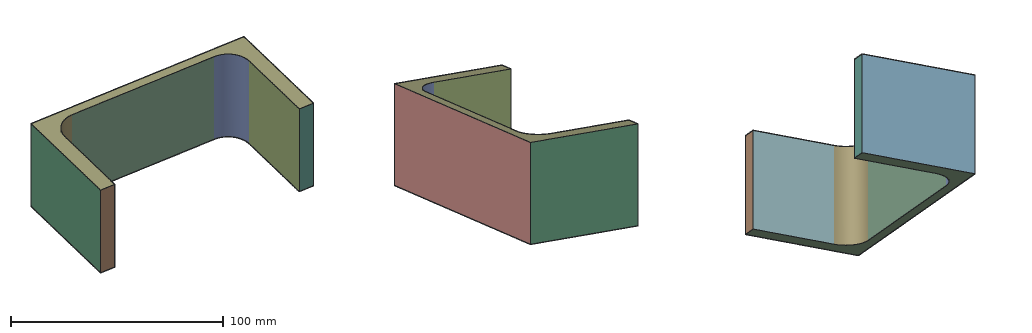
import cadquery as cq

depth = 60.0
width = 120.0
height = 50.0

web_thickness = 5.0
flange_thickness = 8.0
inner_radius = 12.0

outer_block = cq.Workplane("XY").box(depth, width, height)

channel_space = (
    cq.Workplane("XY")
    .box(depth - web_thickness, width - 2 * flange_thickness, height)
    .edges("|Z and <X")
    .fillet(inner_radius)
    .translate((web_thickness / 2, 0, 0))
)

result = outer_block.cut(channel_space)